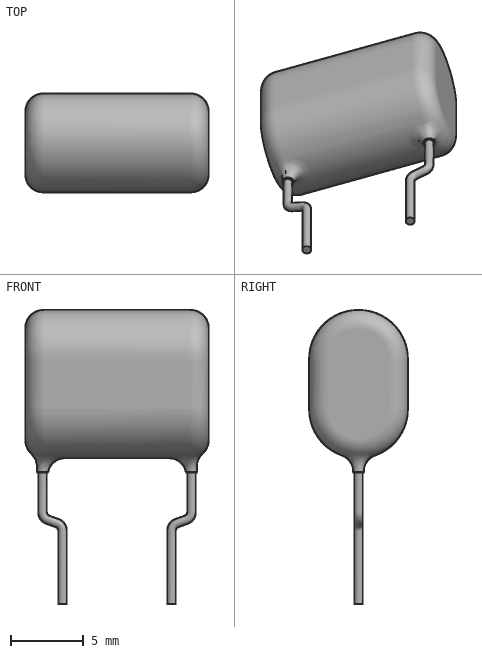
import cadquery as cq
import math

housing_length = 12.6
housing_depth = 6.8
housing_height = 10.2
end_radius = 1.27

total_height = 20.2
housing_bottom = total_height - housing_height
housing_mid = total_height - housing_height / 2

collar_diameter = 0.77
collar_bottom = 9.0
collar_chamfer = 0.06
blend_radius = 1.11
blend_allowance = 1.21

lead_diameter = 0.6
upper_lead_x = 5.11
lower_lead_x = 3.74
lower_run_length = 5.03
bend_radius = 0.57
bend_angle = math.radians(70)

bend_shift = bend_radius * (1 - math.cos(bend_angle))
bend_drop = bend_radius * math.sin(bend_angle)
slant_shift = upper_lead_x - lower_lead_x - 2 * bend_shift
slant_drop = slant_shift / math.tan(bend_angle)

sides = (-1, 1)


def make_collar(side):
    """Vertical stub from the middle of the housing to below the collar's end."""
    return (
        cq.Workplane("XY", origin=(side * upper_lead_x, 0, collar_bottom - blend_allowance))
        .circle(collar_diameter / 2)
        .extrude(housing_mid - collar_bottom + blend_allowance)
    )


def make_housing():
    """Rounded housing with both collars blended into its underside."""
    body = (
        cq.Workplane("YZ", origin=(-housing_length / 2, 0, housing_mid))
        .slot2D(housing_height, housing_depth, 90)
        .extrude(housing_length)
        .faces("<X or >X")
        .edges()
        .fillet(end_radius)
    )
    for side in sides:
        body = body.union(make_collar(side))

    reach = collar_diameter
    for side in sides:
        root_zone = cq.selectors.BoxSelector(
            (side * upper_lead_x - reach, -reach, collar_bottom),
            (side * upper_lead_x + reach, reach, housing_bottom + reach),
            boundingbox=True,
        )
        roots = body.edges(root_zone)
        body = body.newObject(roots.vals()).fillet(blend_radius)

    trim = (
        cq.Workplane("XY", origin=(0, 0, collar_bottom))
        .rect(housing_length, housing_depth)
        .extrude(-2 * blend_allowance)
    )
    return body.cut(trim).faces("<Z").edges().chamfer(collar_chamfer)


def make_lead(side):
    """Round wire from the tip up through the S-bend to the collar's lower face."""
    upper_x = side * upper_lead_x
    lower_x = side * lower_lead_x
    lower_bend_end = (lower_x + side * bend_shift, lower_run_length + bend_drop)
    upper_bend_start = (upper_x - side * bend_shift, lower_bend_end[1] + slant_drop)
    upper_bend_end = (upper_x, upper_bend_start[1] + bend_drop)

    half_shift = bend_radius * (1 - math.cos(bend_angle / 2))
    half_drop = bend_radius * math.sin(bend_angle / 2)
    lower_bend_middle = (lower_x + side * half_shift, lower_run_length + half_drop)
    upper_bend_middle = (upper_x - side * half_shift, upper_bend_end[1] - half_drop)

    centre_line = (
        cq.Workplane("XZ")
        .moveTo(lower_x, 0)
        .lineTo(lower_x, lower_run_length)
        .threePointArc(lower_bend_middle, lower_bend_end)
        .lineTo(*upper_bend_start)
        .threePointArc(upper_bend_middle, upper_bend_end)
        .lineTo(upper_x, collar_bottom)
    )
    return (
        cq.Workplane("XY", origin=(lower_x, 0, 0))
        .circle(lead_diameter / 2)
        .sweep(centre_line)
    )


housing = make_housing()
leads = [make_lead(side) for side in sides]

result = cq.Compound.makeCompound([housing.val(), *[lead.val() for lead in leads]])